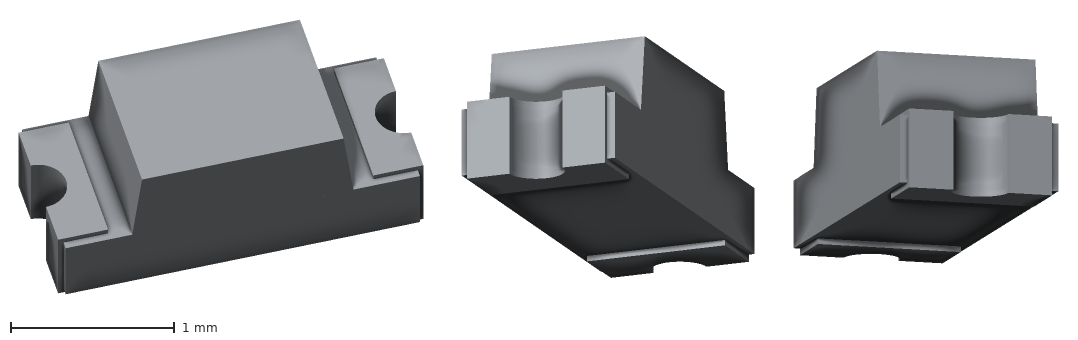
import cadquery as cq

total_length = 2.31
total_height = 0.94
plating = 0.035

board_width = 1.01
board_length = total_length - 2 * plating
board_height = 0.42
board_top = plating + board_height

terminal_width = 0.91
terminal_height = board_height + 2 * plating
top_pad_length = 0.316
bottom_pad_length = 0.383
notch_radius = 0.175

lens_height = total_height - board_top
lens_base_length = 1.4
lens_top_length = 1.275


def box_on(width, length, height, center_y, bottom_z):
    """Box centred on X, standing on the height bottom_z."""
    box = cq.Workplane("XY").box(width, length, height, centered=(True, True, False))
    return box.translate((0, center_y, bottom_z))


def end_cylinder(radius, side):
    """Full-height upright cylinder on the end face at side * Y."""
    center_y = side * total_length / 2
    return cq.Workplane("XY").center(0, center_y).circle(radius).extrude(terminal_height)


def make_board():
    """Flat board with a half-round recess at each end for the plated notch."""
    board = box_on(board_width, board_length, board_height, 0, plating)
    for side in (-1, 1):
        board = board.cut(end_cylinder(notch_radius + plating, side))
    return board


def make_lens():
    """Block as wide as the board, with sloping ends."""
    return (
        cq.Workplane("YZ")
        .moveTo(-lens_base_length / 2, board_top)
        .lineTo(lens_base_length / 2, board_top)
        .lineTo(lens_top_length / 2, total_height)
        .lineTo(-lens_top_length / 2, total_height)
        .close()
        .extrude(board_width / 2, both=True)
    )


def make_terminal(side, board):
    """C-shaped metal wrap around one board end, also lining the notch."""

    def wrap_block(length, bottom_z, height):
        center_y = side * (total_length - length) / 2
        return box_on(terminal_width, length, height, center_y, bottom_z)

    half_height = terminal_height / 2
    lower_block = wrap_block(bottom_pad_length, 0, half_height)
    upper_block = wrap_block(top_pad_length, half_height, half_height)
    return lower_block.union(upper_block).cut(board).cut(end_cylinder(notch_radius, side))


board = make_board()
lens = make_lens()
terminals = [make_terminal(side, board) for side in (-1, 1)]

result = cq.Compound.makeCompound(
    [board.solids().val(), lens.solids().val(), *[terminal.solids().val() for terminal in terminals]]
)